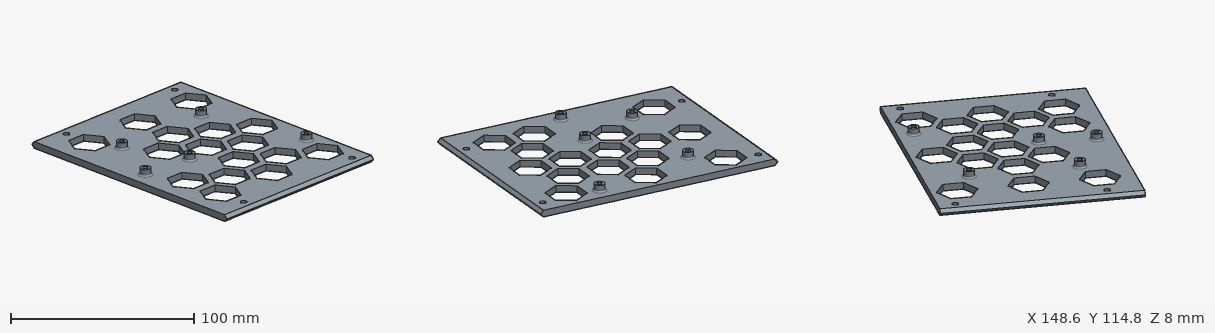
import cadquery as cq
import math

plate_width = 148.6
plate_depth = 114.85
total_height = 8.0
plate_thickness = 4.0
edge_ridge = 1.8
front_edge_y = -plate_depth / 2

hex_across_flats = 20.0
hex_pitch_x = 25.0
hex_pitch_y = 20.0
hex_grid_setback = 60.0
hex_grid_center_y = front_edge_y + hex_grid_setback
hex_rows = {
    2: (-2, 0, 2),
    1: (-0.5, 0.5, 1.5),
    0: (-2, -1, 0, 1, 2),
    -1: (-0.5, 1.5),
    -2: (-2, 1, 2),
}

screw_hole_diameter = 3.6
screw_spacing_x = 135.0
screw_spacing_y = 85.0
screw_pattern_setback = 62.5
screw_center_y = front_edge_y + screw_pattern_setback

standoff_diameter = 6.0
standoff_height = total_height - plate_thickness
standoff_fillet = 1.0
pilot_diameter = 2.8
through_standoffs = [(32.2, 48.1), (-32.3, 31.9), (5.3, -15.8), (2.65, -47.6)]
blind_standoff = (-32.3, -30.2)
blind_pilot_depth = standoff_height


def make_plate():
    half_width = plate_width / 2
    flat_half_width = half_width - edge_ridge
    profile = [
        (-flat_half_width, 0),
        (flat_half_width, 0),
        (half_width, plate_thickness / 2),
        (flat_half_width, plate_thickness),
        (-flat_half_width, plate_thickness),
        (-half_width, plate_thickness / 2),
    ]
    outline = cq.Workplane("XZ").polyline(profile).close()
    return outline.extrude(plate_depth / 2, both=True)


def make_hex_windows():
    centers = [
        (column * hex_pitch_x, hex_grid_center_y + row * hex_pitch_y)
        for row, columns in hex_rows.items()
        for column in columns
    ]
    corner_radius = hex_across_flats / math.sqrt(3)
    hexagon = cq.Sketch().regularPolygon(corner_radius, 6)
    return cq.Workplane("XY").pushPoints(centers).placeSketch(hexagon).extrude(plate_thickness)


def make_screw_holes():
    return (
        cq.Workplane("XY")
        .center(0, screw_center_y)
        .rect(screw_spacing_x, screw_spacing_y, forConstruction=True)
        .vertices()
        .circle(screw_hole_diameter / 2)
        .extrude(plate_thickness)
    )


def make_standoffs():
    """Solid posts of revolution, each with a concave fillet at its foot."""
    post_radius = standoff_diameter / 2
    foot_radius = post_radius + standoff_fillet
    fillet_top = plate_thickness + standoff_fillet
    post = (
        cq.Workplane("XZ")
        .moveTo(0, plate_thickness / 2)
        .lineTo(foot_radius, plate_thickness / 2)
        .lineTo(foot_radius, plate_thickness)
        .radiusArc((post_radius, fillet_top), standoff_fillet)
        .lineTo(post_radius, total_height)
        .lineTo(0, total_height)
        .close()
        .revolve(360, (0, 0, 0), (0, 1, 0))
        .val()
    )
    centers = through_standoffs + [blind_standoff]
    return cq.Workplane("XY").pushPoints(centers).eachpoint(lambda place: post.moved(place))


def make_pilot_holes(centers, depth):
    top = cq.Workplane("XY").workplane(offset=total_height)
    return top.pushPoints(centers).circle(pilot_diameter / 2).extrude(-depth)


result = (
    make_plate()
    .cut(make_hex_windows())
    .cut(make_screw_holes())
    .union(make_standoffs())
    .cut(make_pilot_holes(through_standoffs, total_height))
    .cut(make_pilot_holes([blind_standoff], blind_pilot_depth))
)